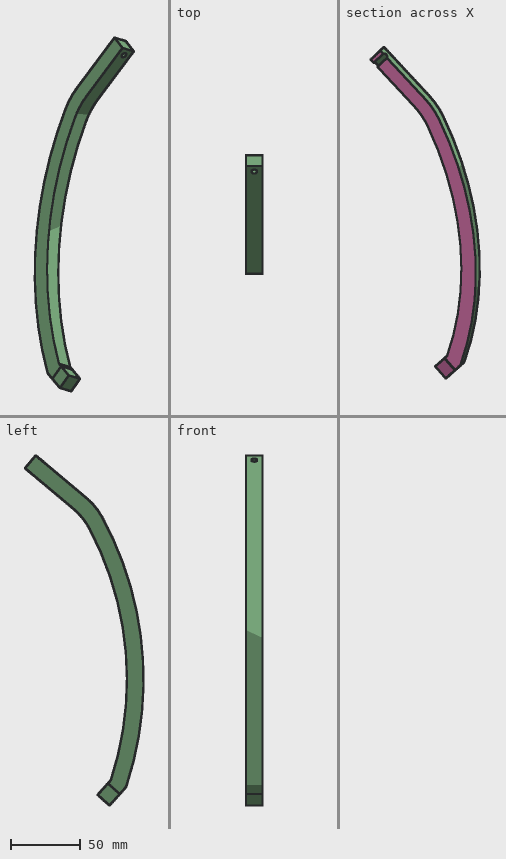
import cadquery as cq
import math

width = 12.0
bar_thickness = 12.0
height = 250.5
half_height = height / 2
depth = 85.0
half_depth = depth / 2

outer_radius = 242.5
inner_radius = outer_radius - bar_thickness
arc_center_y = outer_radius - half_depth
arc_center_z = -35.0
lower_angle = -18.2

arm_slope = 40.0
bend_radius = 47.5

hole_diameter = 3.8
hole_from_tip = 5.3

foot_slope = 48.0
foot_bend_radius = 6.3
foot_length = 11.0


def direction(angle):
    """Unit vector in YZ at an angle above -Y."""
    a = math.radians(angle)
    return cq.Vector(-math.cos(a), math.sin(a))


arc_center = cq.Vector(arc_center_y, arc_center_z)
arm_normal = direction(90.0 - arm_slope)
arm_down = direction(-arm_slope)
inner_tip = cq.Vector(half_depth, half_height - bar_thickness * arm_normal.y)
outer_tip = inner_tip + arm_normal * bar_thickness


def arc_point(radius, angle):
    """Point at a radius and angle about the centre of the bar's curve."""
    return arc_center + direction(angle) * radius


def yz(point):
    """Coordinate pair of a profile point."""
    return point.x, point.y


def arm_meets_arc(tip, radius):
    """Radial angle at which the arm line through tip reaches a bar arc."""
    offset = (tip - arc_center).dot(arm_normal)
    return 90.0 - arm_slope - math.degrees(math.acos(offset / radius))


def extrude_profile(sketch):
    """Solid of the common width from an open YZ outline."""
    return sketch.close().extrude(width / 2, both=True)


def make_upper_bar():
    outer_angle = arm_meets_arc(outer_tip, outer_radius)
    inner_angle = arm_meets_arc(inner_tip, inner_radius)
    outer_corner = arc_point(outer_radius, outer_angle)
    inner_corner = arc_point(inner_radius, inner_angle)
    bar = extrude_profile(
        cq.Workplane("YZ")
        .moveTo(*yz(outer_tip))
        .lineTo(*yz(outer_corner))
        .threePointArc(
            yz(arc_point(outer_radius, (outer_angle + lower_angle) / 2)),
            yz(arc_point(outer_radius, lower_angle)),
        )
        .lineTo(*yz(arc_point(inner_radius, lower_angle)))
        .threePointArc(
            yz(arc_point(inner_radius, (inner_angle + lower_angle) / 2)),
            yz(inner_corner),
        )
        .lineTo(*yz(inner_tip))
    )
    for corner in (outer_corner, inner_corner):
        edge = cq.selectors.NearestToPointSelector((0, *yz(corner)))
        bar = bar.edges(edge).fillet(bend_radius)
    return bar.cut(make_cross_hole())


def make_cross_hole():
    start = outer_tip + arm_down * hole_from_tip
    return cq.Workplane(cq.Solid.makeCylinder(
        hole_diameter / 2,
        bar_thickness,
        cq.Vector(0, *yz(start)),
        cq.Vector(0, *yz(-arm_normal)),
    ))


inner_top = arc_point(inner_radius, lower_angle)
outer_top = arc_point(outer_radius, lower_angle)
foot_normal_angle = foot_slope - 90.0
foot_normal = direction(foot_normal_angle)
foot_down = cq.Vector(-foot_normal.y, foot_normal.x)
foot_bend_center = arc_point(outer_radius - foot_bend_radius, lower_angle)
foot_bend_middle = foot_bend_center + direction((lower_angle + foot_normal_angle) / 2) * foot_bend_radius
foot_bend_end = foot_bend_center + foot_normal * foot_bend_radius
outer_bottom = foot_bend_end + foot_down * ((-half_height - foot_bend_end.y) / foot_down.y)
inner_bottom = inner_top + foot_down * (outer_bottom - inner_top).dot(foot_down)
outer_joint = outer_bottom - foot_down * foot_length
inner_joint = inner_bottom - foot_down * foot_length


def make_lower_bend():
    return extrude_profile(
        cq.Workplane("YZ")
        .moveTo(*yz(inner_top))
        .lineTo(*yz(outer_top))
        .threePointArc(yz(foot_bend_middle), yz(foot_bend_end))
        .lineTo(*yz(outer_joint))
        .lineTo(*yz(inner_joint))
    )


def make_bar():
    return make_upper_bar().union(make_lower_bend(), clean=False)


def make_foot():
    outline = [yz(p) for p in (inner_joint, outer_joint, outer_bottom, inner_bottom)]
    return extrude_profile(cq.Workplane("YZ").polyline(outline))


bar = make_bar()
foot = make_foot()
result = cq.Compound.makeCompound([bar.solids().val(), foot.val()])